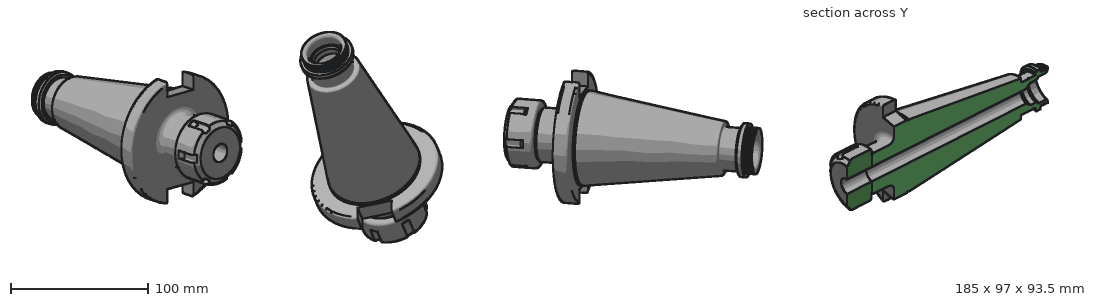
import cadquery as cq
import math

length = 185.0
through_bore_radius = 6.8

lip_radius = 17.0
groove_depth = 0.7
groove_spans = ((1.5, 3.1), (3.1, 4.3), (5.4, 6.5))
collar_start = 6.8
collar_radius = 19.8
collar_land_end = 10.5
collar_end = 11.8
collar_back_radius = 18.0

tail_neck_radius = 16.01
tail_neck_fillet = 0.7
taper_start = 24.6
taper_start_fillet = 1.3
taper_end = 127.0
taper_large_radius = 34.92
taper_slope = 7 / 48
gauge_land_end = 128.0
relief_end = 129.2
relief_radius = 34.2

flange_start = 130.0
flange_end = 142.0
flange_radius = 48.5
flange_fillet = 1.9
keyway_width = 26.0
keyway_floor = 35.4

nose_radius = 20.0
nose_fillet = 5.0
nose_end = 161.8
nose_chamfer = 1.1
nose_end_radius = 18.5

nut_start = 162.3
nut_radius = 25.0
nut_back_fillet = 2.2
nut_front_fillet = 1.7
nut_cone_start = 182.1
nut_face_radius = 19.5
slot_count = 6
slot_width = 6.0
slot_floor_radius = 21.5
slot_floor_fillet = 0.5
slot_end_slope_length = 3.0
long_slot_start = 167.1
short_slot_start = 169.3

entry_radius = 12.8
entry_fillet = 3.0
entry_depth = 9.0
thread_radius = 10.5
thread_mouth_radius = 11.7
thread_mouth_length = 2.2
thread_depth = 16.3
bore_cone_length = 3.7

axis_start = (0, 0, 0)
axis_end = (1, 0, 0)


def revolve(profile):
    """Turn a closed (x, radius) profile about the X axis."""
    return profile.close().revolve(360, axis_start, axis_end)


def holder_blank():
    taper_small_radius = taper_large_radius - taper_slope * (taper_end - taper_start)
    fillet_end = taper_start + taper_start_fillet
    profile = (
        cq.Workplane("XZ")
        .moveTo(0, 0)
        .lineTo(0, lip_radius)
        .lineTo(collar_start, lip_radius)
        .lineTo(collar_start, collar_radius)
        .lineTo(collar_land_end, collar_radius)
        .lineTo(collar_end, collar_back_radius)
        .lineTo(collar_end, tail_neck_radius)
        .lineTo(taper_start - tail_neck_fillet, tail_neck_radius)
        .radiusArc((taper_start, tail_neck_radius + tail_neck_fillet), -tail_neck_fillet)
        .lineTo(taper_start, taper_small_radius - taper_start_fillet)
        .radiusArc(
            (fillet_end, taper_small_radius + taper_slope * taper_start_fillet), taper_start_fillet
        )
        .lineTo(taper_end, taper_large_radius)
        .lineTo(gauge_land_end, taper_large_radius)
        .lineTo((gauge_land_end + relief_end) / 2, relief_radius)
        .lineTo(relief_end, taper_large_radius)
        .lineTo(flange_start, taper_large_radius)
        .lineTo(flange_start, flange_radius - flange_fillet)
        .radiusArc((flange_start + flange_fillet, flange_radius), flange_fillet)
        .lineTo(flange_end - flange_fillet, flange_radius)
        .radiusArc((flange_end, flange_radius - flange_fillet), flange_fillet)
        .lineTo(flange_end, nose_radius + nose_fillet)
        .radiusArc((flange_end + nose_fillet, nose_radius), -nose_fillet)
        .lineTo(nose_end - nose_chamfer, nose_radius)
        .lineTo(nose_end, nose_radius - nose_chamfer)
        .lineTo(nose_end, nose_end_radius)
        .lineTo(nut_start, nose_end_radius)
        .lineTo(nut_start, 0)
    )
    return revolve(profile)


def lip_groove(start, end):
    """Sawtooth groove around the lip: a square wall at the start and a slope up to the end."""
    profile = (
        cq.Workplane("XZ")
        .moveTo(start, lip_radius)
        .lineTo(start, lip_radius - groove_depth)
        .lineTo(end, lip_radius)
    )
    return revolve(profile)


def holder_bore():
    profile = (
        cq.Workplane("XZ")
        .moveTo(0, 0)
        .lineTo(0, entry_radius + entry_fillet)
        .radiusArc((entry_fillet, entry_radius), -entry_fillet)
        .lineTo(entry_depth, entry_radius)
        .lineTo(entry_depth, thread_mouth_radius)
        .lineTo(entry_depth + thread_mouth_length, thread_radius)
        .lineTo(thread_depth, thread_radius)
        .lineTo(thread_depth + bore_cone_length, through_bore_radius)
        .lineTo(nut_start, through_bore_radius)
        .lineTo(nut_start, 0)
    )
    return revolve(profile)


def keyway(side):
    """Slot across the flange rim; side is +1 for the top and -1 for the bottom."""
    height = flange_radius
    return cq.Workplane("XY").box(
        flange_end - flange_start, keyway_width, height, centered=(False, True, False)
    ).translate((flange_start, 0, keyway_floor if side > 0 else -keyway_floor - height))


def make_holder():
    holder = holder_blank().cut(holder_bore())
    for start, end in groove_spans:
        holder = holder.cut(lip_groove(start, end))
    for side in (1, -1):
        holder = holder.cut(keyway(side))
    return holder


def nut_blank():
    profile = (
        cq.Workplane("XZ")
        .moveTo(nut_start, through_bore_radius)
        .lineTo(nut_start, nut_radius - nut_back_fillet)
        .radiusArc((nut_start + nut_back_fillet, nut_radius), nut_back_fillet)
        .lineTo(nut_cone_start - nut_front_fillet, nut_radius)
        .radiusArc((nut_cone_start, nut_radius - nut_front_fillet), nut_front_fillet)
        .lineTo(length, nut_face_radius)
        .lineTo(length, through_bore_radius)
    )
    return revolve(profile)


def wrench_slot(angle, start):
    """Slot with a sloped end wall, open to the front; angle is about X from the -Y side."""
    slope_run = slot_end_slope_length
    slope_rise = nut_radius - slot_floor_radius
    slot = (
        cq.Workplane("XY")
        .moveTo(start, -nut_radius)
        .lineTo(start + slope_run, -slot_floor_radius)
        .lineTo(length, -slot_floor_radius)
        .lineTo(length, -nut_radius - slope_rise)
        .lineTo(start - slope_run, -nut_radius - slope_rise)
        .close()
        .extrude(slot_width / 2, both=True)
        .edges("|X")
        .fillet(slot_floor_fillet)
    )
    return slot.rotate(axis_start, axis_end, angle)


def make_nut():
    nut = nut_blank()
    for index in range(slot_count):
        angle = index * 360 / slot_count
        faces_front = math.cos(math.radians(angle)) > 0
        start = long_slot_start if faces_front else short_slot_start
        nut = nut.cut(wrench_slot(angle, start))
    return nut


holder = make_holder()
nut = make_nut()
result = cq.Compound.makeCompound([holder.val(), nut.val()])